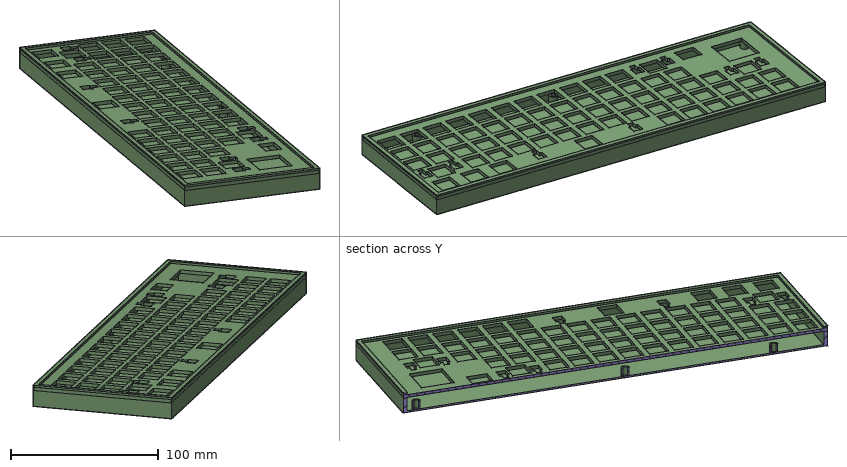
import cadquery as cq
LENGTH = 307.2
WIDTH = 98.3
HEIGHT = 15.0

CASE_WALL = 3.0
CASE_FLOOR = 1.5

PLATE_RECESS = 1.5
PLATE_THICKNESS = 2.4
PLATE_INSET = 0.5
PLATE_BOTTOM = HEIGHT - PLATE_RECESS - PLATE_THICKNESS

STANDOFF_DIAMETER = 5.8
STANDOFF_BORE = 3.0
STANDOFF_HEIGHT = 6.0
STANDOFF_Y = 41.8
STANDOFF_XS = (-114.5, -7.0, 144.0)

COLUMN_SPAN = 270.0
COLUMN_PITCH = COLUMN_SPAN / 15
ROW_SPAN = 68.2
ROW_PITCH = ROW_SPAN / 4
FIRST_COLUMN_X = -140.7
FIRST_ROW_Y = 32.0
KEY_SIZE = 13.8

KEY_ROWS = (
    (*range(11), 11.5),
    (*range(13),),
    (*range(14), 14.5),
    (0.5, *range(2, 16)),
    (0.125, 1.375, 2.625, 6.375, *range(10, 16)),
)

STABILIZER_WIDTH = 6.8
STABILIZER_FRONT = -2.8
STABILIZER_SHOULDER = 4.3
STABILIZER_BACK = 8.3
STABILIZER_NECK = 3.7
WIDE_KEY_OFFSET = 12.0
SPACE_BAR_OFFSET = 37.8

STABILIZED_KEYS = (
    (11.5, 0, WIDE_KEY_OFFSET),
    (14.5, 2, WIDE_KEY_OFFSET),
    (0.5, 3, WIDE_KEY_OFFSET),
    (6.375, 4, SPACE_BAR_OFFSET),
)

PORT_LENGTH = 14.7
PORT_WIDTH = 11.5
PORT_X = 96.0
PORT_Y = 35.3
KNOB_SIZE = 23.7
KNOB_X = 126.0
KNOB_Y = 23.5


def block(length, width, bottom, height):
    """Box centred on X and Y, standing on the height `bottom`."""
    base = cq.Workplane("XY", origin=(0, 0, bottom))
    return base.box(length, width, height, centered=(True, True, False))


def key_center(column, row):
    return (FIRST_COLUMN_X + column * COLUMN_PITCH, FIRST_ROW_Y - row * ROW_PITCH)


def rectangular_cutters(centers, length, width):
    """Through-cutters for the plate at the given centres."""
    base = cq.Workplane("XY", origin=(0, 0, PLATE_BOTTOM))
    return base.pushPoints(centers).rect(length, width).extrude(PLATE_THICKNESS)


def stabilizer_cutters():
    """Through-cutters for the pair of stabilizers beside each wide key."""
    centers = []
    for column, row, offset in STABILIZED_KEYS:
        x, y = key_center(column, row)
        centers += [(x - offset, y), (x + offset, y)]
    body_width = STABILIZER_SHOULDER - STABILIZER_FRONT
    neck_width = STABILIZER_BACK - STABILIZER_SHOULDER
    body_centers = [(x, y + STABILIZER_FRONT + body_width / 2) for x, y in centers]
    neck_centers = [(x, y + STABILIZER_SHOULDER + neck_width / 2) for x, y in centers]
    bodies = rectangular_cutters(body_centers, STABILIZER_WIDTH, body_width)
    necks = rectangular_cutters(neck_centers, STABILIZER_NECK, neck_width)
    return bodies.union(necks)


def plate_blank():
    """Uncut outline of the plate, which is also the shape of the groove in the case."""
    return block(LENGTH - 2 * PLATE_INSET, WIDTH - 2 * PLATE_INSET, PLATE_BOTTOM, PLATE_THICKNESS)


def make_case():
    cavity = block(LENGTH - 2 * CASE_WALL, WIDTH - 2 * CASE_WALL, CASE_FLOOR, HEIGHT - CASE_FLOOR)
    return block(LENGTH, WIDTH, 0, HEIGHT).cut(cavity).cut(plate_blank())


def make_plate():
    key_centers = [key_center(column, row) for row, columns in enumerate(KEY_ROWS) for column in columns]
    return (
        plate_blank()
        .cut(rectangular_cutters(key_centers, KEY_SIZE, KEY_SIZE))
        .cut(stabilizer_cutters())
        .cut(rectangular_cutters([(PORT_X, PORT_Y)], PORT_LENGTH, PORT_WIDTH))
        .cut(rectangular_cutters([(KNOB_X, KNOB_Y)], KNOB_SIZE, KNOB_SIZE))
    )


def make_standoff(x):
    """Tube standing on the case floor, bored through."""
    return (
        cq.Workplane("XY", origin=(x, STANDOFF_Y, CASE_FLOOR))
        .circle(STANDOFF_DIAMETER / 2)
        .circle(STANDOFF_BORE / 2)
        .extrude(STANDOFF_HEIGHT)
    )


case = make_case()
plate = make_plate()
standoffs = [make_standoff(x).val() for x in STANDOFF_XS]

result = cq.Compound.makeCompound([case.val(), plate.val(), *standoffs])